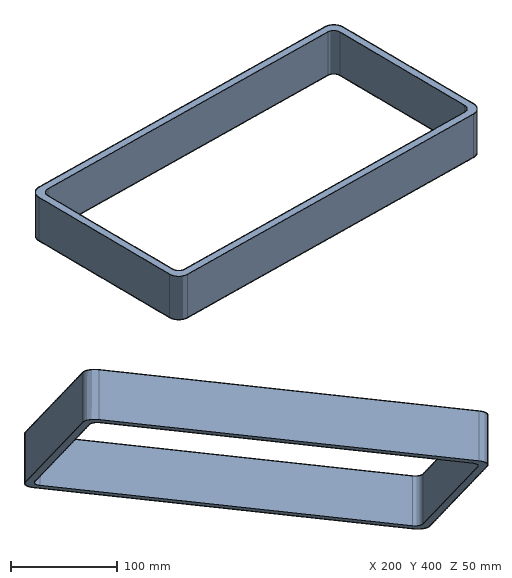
import cadquery as cq

width = 200.0
length = 400.0
height = 50.0

wall = 8.0
outer_radius = 12.0
inner_radius = 8.0


def rounded_block(size_x, size_y, corner_radius):
    """Full-height block standing on Z = 0 with rounded vertical edges."""
    block = cq.Workplane("XY").box(size_x, size_y, height, centered=(True, True, False))
    return block.edges("|Z").fillet(corner_radius)


outer = rounded_block(width, length, outer_radius)
opening = rounded_block(width - 2 * wall, length - 2 * wall, inner_radius)

result = outer.cut(opening)